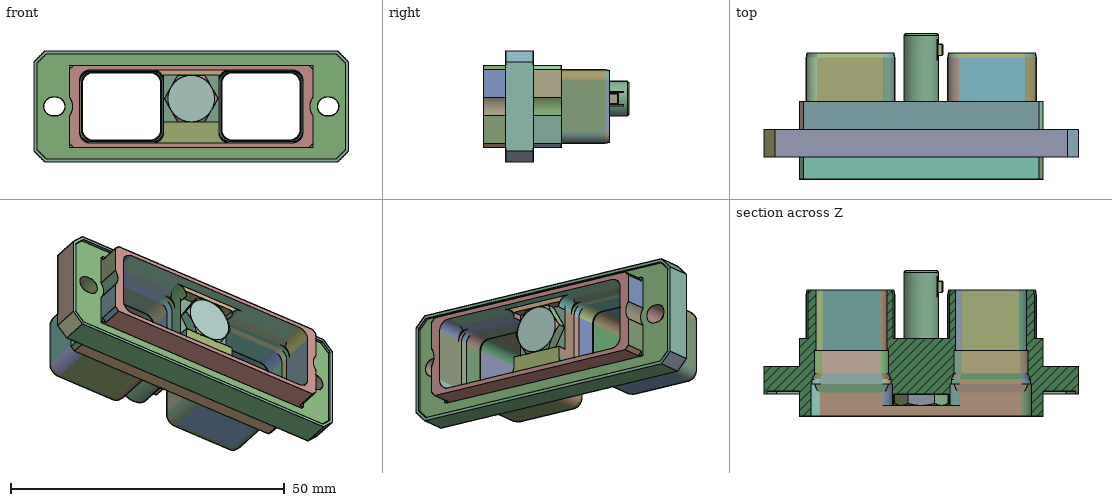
import cadquery as cq
import math


flange_length = 57.45
flange_height = 20.35
flange_front = 4.1
flange_back = 9.15
flange_corner = 2.0
flange_rim = 0.6
recess_depth = 0.5
slot_length = 3.85
slot_width = 3.4
slot_offset = 25.0

frame_length = 44.45
frame_height = 15.05
frame_back = 14.25
frame_corner = 0.75
groove_depth = 0.6
groove_half_width = 1.65

cavity_length = 40.8
cavity_height = 13.3
cavity_radius = 1.95
block_front = 2.0
block_width = 10.1

ramp_start = 4.35
ramp_end = 5.9
ramp_rise = 0.3
taper_start = 6.8
taper_end = 7.8
taper_inset = 0.35
taper_rise = 0.2
lip_start = 12.05
lip_inset = 0.2
lip_rise = 0.05

sleeve_length = 16.2
sleeve_height = 13.45
sleeve_offset = 12.9
sleeve_radius = 2.05
sleeve_back = 23.1
tip_length = 0.85
tip_inset = 0.2

bolt_height = 1.45
bolt_back = 26.65
bolt_diameter = 6.4
bolt_chamfer = 0.35
head_flats = 8.5
head_seat = 4.0
head_slot_height = 8.6
head_bevel_angle = 30.0

pin_width = 2.05
pin_reach = 3.95
pin_back_gap = 3.0
pin_rim = 0.2
pad_length = 3.8
pad_height = 2.65
pad_reach = 3.0

bay_width = (cavity_length - block_width) / 2
bay_offset = (cavity_length + block_width) / 4


def plane_at(y, x=0, z=0):
    """XZ work plane whose extrusions run toward +Y; its local Y axis points to -Z."""
    return cq.Workplane(cq.Plane(origin=(x, y, z), xDir=(1, 0, 0), normal=(0, 1, 0)))


def block(length, height, y_start, y_end, x=0, z=0):
    return plane_at(y_start, x, z).rect(length, height).extrude(y_end - y_start)


def rounded_block(length, height, radius, y_start, y_end, x=0):
    return block(length, height, y_start, y_end, x).edges("|Y").fillet(radius)


def bevelled_block(length, height, corner, y_start, y_end):
    return block(length, height, y_start, y_end).edges("|Y").chamfer(corner)


def cut_end_grooves(body):
    """Cut a shallow round groove along Y into each X end of a frame-sized block."""
    for side in (-1, 1):
        edge = side * frame_length / 2
        groove = (
            plane_at(0)
            .moveTo(edge, -groove_half_width)
            .threePointArc((edge - side * groove_depth, 0), (edge, groove_half_width))
            .close()
            .extrude(frame_back)
        )
        body = body.cut(groove)
    return body


def make_flange():
    flange = bevelled_block(flange_length, flange_height, flange_corner, flange_front, flange_back)
    recess_floor = flange_front + recess_depth
    inner_corner = flange_corner - flange_rim * (2 - math.sqrt(2))
    recess_length = flange_length - 2 * flange_rim
    recess_height = flange_height - 2 * flange_rim
    recess = bevelled_block(recess_length, recess_height, inner_corner, flange_front, recess_floor)
    island = cut_end_grooves(block(frame_length, frame_height, flange_front, recess_floor))
    return flange.cut(recess.cut(island))


def make_frame():
    return cut_end_grooves(bevelled_block(frame_length, frame_height, frame_corner, 0, frame_back))


def make_flange_slots():
    return (
        plane_at(flange_front)
        .pushPoints([(-slot_offset, 0), (slot_offset, 0)])
        .slot2D(slot_length, slot_width)
        .extrude(flange_back - flange_front)
    )


def make_sleeve(x):
    body = rounded_block(sleeve_length, sleeve_height, sleeve_radius, flange_back, sleeve_back, x)
    return body.faces(">Y").chamfer(tip_length, tip_inset)


def make_bay(x):
    """Hollow of one sleeve: front room, ramped floor and ceiling, then a taper and a lip."""
    front_room = rounded_block(bay_width, cavity_height, cavity_radius, block_front, ramp_end, x)
    half = cavity_height / 2
    low = half - ramp_rise
    ramp_limit = (
        cq.Workplane("YZ", origin=(x - bay_width / 2, 0, 0))
        .polyline(
            [
                (block_front, -half),
                (ramp_start, -half),
                (ramp_end, -low),
                (ramp_end, low),
                (ramp_start, half),
                (block_front, half),
            ]
        )
        .close()
        .extrude(bay_width)
    )
    middle = rounded_block(bay_width, 2 * low, cavity_radius, block_front, taper_start, x)
    throat_width = bay_width - 2 * taper_inset
    throat_height = 2 * (low - taper_rise)

    def outline(length, height):
        return cq.Sketch().rect(length, height).vertices().fillet(cavity_radius)

    taper_shift = cq.Location(cq.Vector(0, 0, taper_end - taper_start))
    taper_mouth = outline(bay_width, 2 * low)
    taper_exit = outline(throat_width, throat_height).moved(taper_shift)
    taper = plane_at(taper_start, x).placeSketch(taper_mouth, taper_exit).loft()
    throat = rounded_block(throat_width, throat_height, cavity_radius, taper_end, lip_start, x)
    window_width = throat_width - 2 * lip_inset
    window_height = throat_height - 2 * lip_rise
    window = rounded_block(window_width, window_height, cavity_radius, lip_start, sleeve_back, x)
    return front_room.intersect(ramp_limit).union(middle).union(taper).union(throat).union(window)


def make_head_slot():
    return block(block_width, head_slot_height, block_front, head_seat, z=bolt_height)


def make_bolt():
    head_height = head_seat - block_front
    corner_radius = head_flats / math.sqrt(3)
    head = plane_at(block_front, z=bolt_height).polygon(6, 2 * corner_radius).extrude(head_height)
    bevel_slope = math.tan(math.radians(head_bevel_angle))
    face_radius = head_flats / 2
    base_radius = face_radius + head_height / bevel_slope
    face_centre = cq.Vector(0, block_front, bolt_height)
    cone = cq.Solid.makeCone(face_radius, base_radius, head_height, face_centre, cq.Vector(0, 1, 0))
    shank = plane_at(head_seat, z=bolt_height).circle(bolt_diameter / 2).extrude(bolt_back - head_seat)
    shank = shank.faces(">Y").chamfer(bolt_chamfer)
    return head.intersect(cq.Workplane(cone)).union(shank)


def make_side_pin():
    pin_y = bolt_back - pin_back_gap
    base = cq.Workplane("YZ", origin=(0, pin_y, bolt_height))
    pin = base.rect(pin_width, pin_width).extrude(pin_reach).faces(">X").chamfer(pin_rim)
    pad = base.rect(pad_length, pad_height).extrude(pad_reach)
    return pin.union(pad)


result = make_flange().union(make_frame())
for side in (-1, 1):
    result = result.union(make_sleeve(side * sleeve_offset))
result = result.cut(rounded_block(cavity_length, cavity_height, cavity_radius, 0, block_front))
for side in (-1, 1):
    result = result.cut(make_bay(side * bay_offset))
result = result.cut(make_head_slot()).union(make_bolt()).union(make_side_pin())
result = result.cut(make_flange_slots())